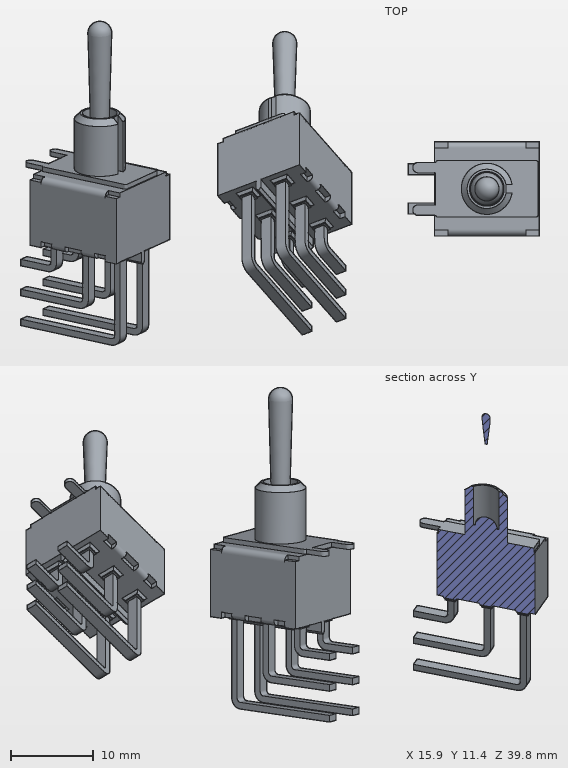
import cadquery as cq

lever_top = 39.75
case_bottom = 11.55
case_top = 20.43
bushing_top = 28.1
blade_bottom = 9.97

case_length = 12.7
case_width = 11.45
edge_radius = 0.75
rolled_length = 9.45
corner_step_height = 0.5
hook_offset = 2.2
hook_length = 2.0
hook_radius = 0.55

plate_length = 12.4
plate_width = 6.85
plate_thickness = 0.6
plate_corner_radius = 0.25
tab_width = 1.27
tab_pitch = 5.15
tab_reach = 9.0

bushing_diameter = 6.2
bushing_chamfer = 0.7
bore_diameter = 4.2
bore_floor = 22.65
keyway_width = 1.05
keyway_floor = 2.3

tip_radius = 1.47
neck_radius = 1.2
ball_radius = 2.0

blade_thickness = 0.65

pin_pitch = 4.7
row_pitch = 4.75
leg_step = 3.8
pin_thickness = 0.85
pin_width = 1.35
pin_reach = 9.55
bend_inner_radius = 0.48
bend_outer_radius = bend_inner_radius + pin_thickness

collar_slope_height = 0.35
collar_rim_height = 0.15
collar_top_margin = 0.5
collar_rim_margin = 0.25

overlap = 0.2

plate_top = case_top + plate_thickness


def block(length, width, bottom, top):
    """Box centred on the lever axis between two heights."""
    return cq.Workplane("XY", origin=(0, 0, bottom)).rect(length, width).extrude(top - bottom)


def case_edge_cutter(length, bottom, height):
    """Bar along the front edge of the case, as deep as the rolled edge."""
    y_center = (edge_radius - case_width) / 2
    return block(length, edge_radius, bottom, bottom + height).translate((0, y_center, 0))


def hook(x_center):
    """Hook filling part of the lower recess, with a rounded lower edge."""
    body = case_edge_cutter(hook_length, case_bottom, edge_radius)
    return body.edges("<Y and <Z").fillet(hook_radius).translate((x_center, 0, 0))


def both_sides(body):
    """The body together with its mirror image across the XZ plane."""
    return body.union(body.mirror("XZ"))


def make_case():
    body = block(case_length, case_width, case_bottom, case_top)
    body = body.edges("|X and >Z").fillet(edge_radius)

    end_length = (case_length - rolled_length) / 2
    end_block = block(end_length, case_width, case_bottom, case_top - corner_step_height)
    end_step = case_edge_cutter(end_length, case_top - corner_step_height, corner_step_height)
    cutter = case_edge_cutter(rolled_length, case_bottom, edge_radius)
    for side in (-1, 1):
        end_shift = (side * (case_length - end_length) / 2, 0, 0)
        body = body.union(end_block.translate(end_shift))
        cutter = cutter.union(end_step.translate(end_shift))
        cutter = cutter.cut(hook(side * hook_offset))
    return body.cut(both_sides(cutter))


def make_plate():
    plate = block(plate_length, plate_width, case_top, plate_top)
    plate = plate.edges("|Z").fillet(plate_corner_radius)
    for side in (-1, 1):
        tab = (
            cq.Workplane("XY", origin=(0, side * tab_pitch / 2, case_top))
            .moveTo(0, tab_width / 2)
            .lineTo(tab_width / 2 - tab_reach, tab_width / 2)
            .threePointArc((-tab_reach, 0), (tab_width / 2 - tab_reach, -tab_width / 2))
            .lineTo(0, -tab_width / 2)
            .close()
            .extrude(plate_thickness)
        )
        plate = plate.union(tab)
    return plate


def make_bushing():
    bushing = (
        cq.Workplane("XY", origin=(0, 0, case_top))
        .circle(bushing_diameter / 2)
        .extrude(bushing_top - case_top)
        .faces(">Z")
        .chamfer(bushing_chamfer)
    )
    bore = (
        cq.Workplane("XY", origin=(0, 0, bore_floor))
        .circle(bore_diameter / 2)
        .extrude(bushing_top - bore_floor)
    )
    keyway = (
        cq.Workplane("XY", origin=(keyway_floor + bushing_diameter / 2, 0, plate_top))
        .rect(bushing_diameter, keyway_width)
        .extrude(bushing_top - plate_top)
    )
    return bushing.cut(bore).cut(keyway)


def make_lever():
    """Round-tipped tapered lever standing on a half ball in the bore."""
    tip_center = lever_top - tip_radius
    taper = (tip_radius - neck_radius) / (tip_center - bushing_top)
    foot_radius = neck_radius - taper * (bushing_top - bore_floor)
    stem = (
        cq.Workplane("XZ")
        .moveTo(0, bore_floor)
        .lineTo(foot_radius, bore_floor)
        .lineTo(tip_radius, tip_center)
        .radiusArc((0, lever_top), -tip_radius)
        .close()
        .revolve(360, (0, 0, 0), (0, 1, 0))
    )
    ball = cq.Workplane("XY", origin=(0, 0, bore_floor)).sphere(ball_radius)
    return stem.union(ball)


def make_blade():
    """Thin centre wall below the case, with a pointed lower edge."""
    half = blade_thickness / 2
    root = case_bottom + overlap
    return (
        cq.Workplane("YZ", origin=(-case_length / 2, 0, 0))
        .polyline([
            (-half, root),
            (-half, blade_bottom + half),
            (0, blade_bottom),
            (half, blade_bottom + half),
            (half, root),
        ])
        .close()
        .extrude(case_length)
    )


def make_pin(x_center, y_center, leg_bottom):
    """Pin that drops from the case and bends toward -X, with its sealing collar."""
    half = pin_thickness / 2
    root = case_bottom + overlap
    leg_top = leg_bottom + pin_thickness
    inner_x = x_center - half
    outer_x = x_center + half
    bend_x = inner_x - bend_inner_radius
    bend_z = leg_top + bend_inner_radius
    pin = (
        cq.Workplane("XZ")
        .moveTo(outer_x, root)
        .lineTo(outer_x, bend_z)
        .radiusArc((bend_x, leg_bottom), bend_outer_radius)
        .lineTo(-pin_reach, leg_bottom)
        .lineTo(-pin_reach, leg_top)
        .lineTo(bend_x, leg_top)
        .radiusArc((inner_x, bend_z), -bend_inner_radius)
        .lineTo(inner_x, root)
        .close()
        .extrude(pin_width / 2, both=True)
        .translate((0, y_center, 0))
    )
    rim_length = pin_thickness + 2 * collar_rim_margin
    rim_width = pin_width + 2 * collar_rim_margin
    slope = (
        cq.Workplane("XY", origin=(x_center, y_center, case_bottom))
        .rect(pin_thickness + 2 * collar_top_margin, pin_width + 2 * collar_top_margin)
        .workplane(offset=-collar_slope_height)
        .rect(rim_length, rim_width)
        .loft()
    )
    rim_top = case_bottom - collar_slope_height
    rim = block(rim_length, rim_width, rim_top - collar_rim_height, rim_top)
    rim = rim.translate((x_center, y_center, 0))
    return pin.union(slope).union(rim)


result = make_case().union(make_plate()).union(make_bushing()).union(make_lever()).union(make_blade())
for column in (-1, 0, 1):
    for row in (-1, 1):
        leg_bottom = (1 - column) * leg_step
        result = result.union(make_pin(column * pin_pitch, row * row_pitch / 2, leg_bottom))